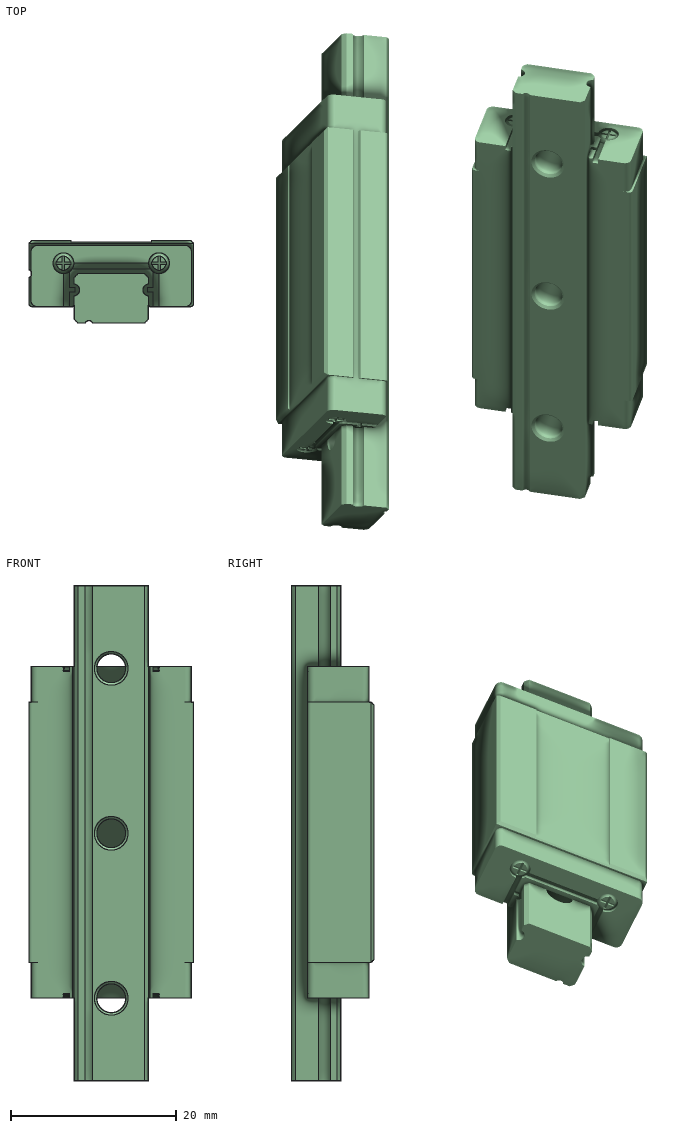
import cadquery as cq


rail_length = 60.0
rail_width = 9.0
rail_height = 6.0
rail_chamfer = 0.5
race_y = 4.0
race_width = 1.45
race_depth = 0.65
mark_x = -2.7
mark_width = 0.9
mark_depth = 0.3
bolt_pitch = 20.0
bolt_hole_diameter = 3.5
bolt_hole_chamfer = 0.3

carriage_offset = 0.1

block_width = 20.0
block_length = 31.55
carriage_bottom = 2.0
carriage_top = 10.0
block_top_chamfer = 0.35
block_bottom_fillet = 0.4
top_recess_width = 9.7
top_recess_depth = 0.2
side_groove_y = 6.0
side_groove_width = 0.95
side_groove_depth = 0.35
slot_lip_chamfer = 0.2

carriage_length = 40.2
cap_width = 19.45
cap_top = 9.4
cap_fillet = 0.8

channel_outer_width = 11.6
channel_width = 0.7
channel_top = 7.25
channel_depth = 0.6
branch_width = 0.55
branch_end_x = 4.4

screw_x = channel_outer_width / 2
screw_y = channel_top
screw_diameter = 2.5
screw_head_height = 0.55
screw_head_chamfer = 0.4
cross_length = 1.8
cross_width = 0.3
cross_depth = 0.3


def rail_prism():
    """The rail's full-length profile, without bolt holes."""
    side = rail_width / 2
    mark_left = mark_x - mark_width / 2
    mark_right = mark_x + mark_width / 2
    race_bottom = race_y - race_width / 2
    race_top = race_y + race_width / 2
    race_floor = side - race_depth
    profile = (
        cq.Workplane("XY", origin=(0, 0, -rail_length / 2))
        .moveTo(-side + rail_chamfer, 0)
        .lineTo(mark_left, 0)
        .threePointArc((mark_x, mark_depth), (mark_right, 0))
        .lineTo(side - rail_chamfer, 0)
        .lineTo(side, rail_chamfer)
        .lineTo(side, race_bottom)
        .threePointArc((race_floor, race_y), (side, race_top))
        .lineTo(side, rail_height - rail_chamfer)
        .lineTo(side - rail_chamfer, rail_height)
        .lineTo(-side + rail_chamfer, rail_height)
        .lineTo(-side, rail_height - rail_chamfer)
        .lineTo(-side, race_top)
        .threePointArc((-race_floor, race_y), (-side, race_bottom))
        .lineTo(-side, rail_chamfer)
        .close()
    )
    return profile.extrude(rail_length)


def bolt_hole(z):
    """Through hole along Y, chamfered at the mounting face."""
    radius = bolt_hole_diameter / 2
    return (
        cq.Workplane("XY", origin=(0, 0, z))
        .moveTo(0, 0)
        .lineTo(radius + bolt_hole_chamfer, 0)
        .lineTo(radius, bolt_hole_chamfer)
        .lineTo(radius, rail_height)
        .lineTo(0, rail_height)
        .close()
        .revolve(360, (0, 0, 0), (0, 1, 0))
    )


def make_rail():
    rail = rail_prism()
    for z in (-bolt_pitch, 0, bolt_pitch):
        rail = rail.cut(bolt_hole(z))
    return rail


def prism(x_min, x_max, y_min, y_max, z_min, z_max):
    """Box given by its limits along each axis."""
    size = (x_max - x_min, y_max - y_min, z_max - z_min)
    return cq.Workplane("XY").box(*size, centered=False).translate((x_min, y_min, z_min))


def carriage_block():
    """Middle block with its top recess and side groove."""
    half_width = block_width / 2
    half_length = block_length / 2
    block = prism(-half_width, half_width, carriage_bottom, carriage_top, -half_length, half_length)
    block = block.faces(">Y").chamfer(block_top_chamfer)
    block = block.edges("|Z and <Y").fillet(block_bottom_fillet)
    recess = prism(
        -top_recess_width / 2, top_recess_width / 2,
        carriage_top - top_recess_depth, carriage_top,
        -half_length, half_length,
    )
    side_groove = (
        cq.Workplane("XY", origin=(-half_width, side_groove_y, -half_length))
        .moveTo(0, -side_groove_width / 2)
        .threePointArc((side_groove_depth, 0), (0, side_groove_width / 2))
        .close()
        .extrude(block_length)
    )
    return block.cut(recess).cut(side_groove)


def cap_bar():
    """Bar through the block whose two ends are the end caps."""
    half_width = cap_width / 2
    half_length = carriage_length / 2
    bar = prism(-half_width, half_width, carriage_bottom, cap_top, -half_length, half_length)
    return bar.edges("|Z").fillet(cap_fillet)


def slot_lip():
    """Wedge that chamfers both lower edges of the rail slot."""
    side = rail_width / 2
    return (
        cq.Workplane("XY", origin=(0, 0, -carriage_length / 2))
        .moveTo(-side - slot_lip_chamfer, carriage_bottom)
        .lineTo(side + slot_lip_chamfer, carriage_bottom)
        .lineTo(side, carriage_bottom + slot_lip_chamfer)
        .lineTo(-side, carriage_bottom + slot_lip_chamfer)
        .close()
        .extrude(carriage_length)
    )


def seal_channel():
    """Channel arching over the rail in the upper cap face, with a short branch towards each ball groove."""
    z_max = carriage_length / 2
    z_min = z_max - channel_depth
    outer = channel_outer_width / 2
    inner = outer - channel_width
    channel = prism(-outer, outer, carriage_bottom, channel_top, z_min, z_max)
    channel = channel.cut(prism(-inner, inner, carriage_bottom, channel_top - channel_width, z_min, z_max))
    branch_bottom = race_y - branch_width / 2
    branch_top = race_y + branch_width / 2
    for x_min, x_max in ((-outer, -branch_end_x), (branch_end_x, outer)):
        channel = channel.union(prism(x_min, x_max, branch_bottom, branch_top, z_min, z_max))
    return channel


def screw_recess(x):
    """Round recess for one cap screw in the upper cap face."""
    floor = carriage_length / 2 - channel_depth
    return cq.Workplane("XY", origin=(x, screw_y, floor)).circle(screw_diameter / 2).extrude(channel_depth)


def screw_head(x):
    """Bevelled screw head with a cross slot, standing on the recess floor."""
    floor = carriage_length / 2 - channel_depth
    head = cq.Workplane("XY", origin=(x, screw_y, floor)).circle(screw_diameter / 2)
    head = head.extrude(screw_head_height).faces(">Z").chamfer(screw_head_chamfer)
    slot_plane = cq.Workplane("XY", origin=(x, screw_y, floor + screw_head_height - cross_depth))
    for width, height in ((cross_length, cross_width), (cross_width, cross_length)):
        head = head.cut(slot_plane.rect(width, height).extrude(cross_depth))
    return head


def at_both_ends(shape):
    """The shape for the upper cap together with its mirror image for the lower cap."""
    return shape.union(shape.mirror("XY"))


def make_carriage():
    carriage = carriage_block().union(cap_bar()).cut(rail_prism()).cut(slot_lip())
    carriage = carriage.cut(at_both_ends(seal_channel()))
    for x in (-screw_x, screw_x):
        carriage = carriage.cut(at_both_ends(screw_recess(x)))
        for head in (screw_head(x), screw_head(x).mirror("XY")):
            carriage = carriage.union(head)
    return carriage.translate((0, 0, carriage_offset))


rail = make_rail()
carriage = make_carriage()

result = cq.Compound.makeCompound([rail.solids().val(), carriage.solids().val()])